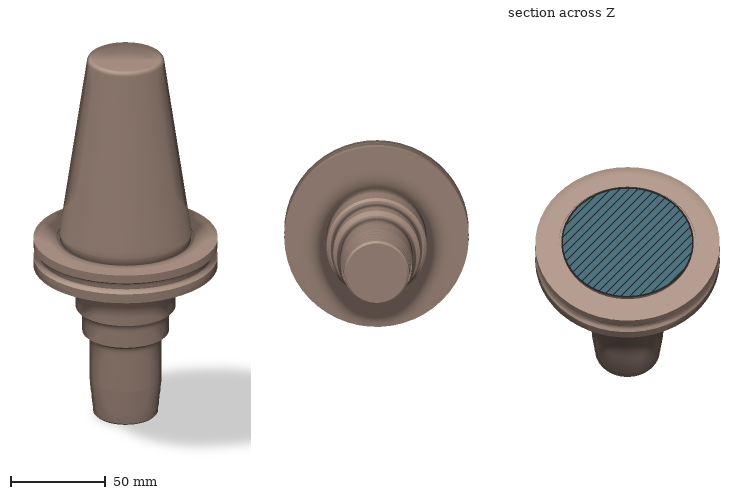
import cadquery as cq

total_height = 206.8
gauge_height = 105.0
flange_top = 102.0
flange_bottom = 85.8
collar_bottom = 62.2
step_bottom = 48.0
nose_top = 20.5

gauge_radius = 35.0
taper_rate = 7 / 48
flange_radius = 48.8
collar_radius = 26.5
step_radius = 23.0
shank_radius = 19.0

top_fillet = 2.5
gauge_lip_height = 1.0
neck_radius = 34.7
relief_radius = 36.4
relief_depth = 0.6
groove_top = 97.4
groove_floor_top = 95.5
groove_floor_bottom = 92.6
groove_bottom = 91.0
groove_radius = 46.0
collar_edge = 1.2
collar_shoulder_height = 1.7
step_chamfer_height = 2.5
nose_edge = 1.0
nose_band_count = 5
band_step = 0.2
band_widening = 0.2
nose_band_height = (nose_top - nose_edge) / nose_band_count
total_widening = nose_band_count * band_widening + (nose_band_count - 1) * band_step
nose_end_radius = shank_radius - total_widening

outline = [(0, 0), (nose_end_radius - nose_edge, 0)]
for band in range(nose_band_count):
    band_bottom_radius = nose_end_radius + band * (band_widening + band_step)
    band_bottom = nose_edge + band * nose_band_height
    outline.append((band_bottom_radius, band_bottom))
    outline.append((band_bottom_radius + band_widening, band_bottom + nose_band_height))

outline += [
    (shank_radius, step_bottom - step_chamfer_height),
    (step_radius, step_bottom),
    (step_radius, collar_bottom - collar_shoulder_height),
    (collar_radius - collar_edge, collar_bottom - collar_edge),
    (collar_radius, collar_bottom),
    (collar_radius, flange_bottom),
    (flange_radius, flange_bottom),
    (flange_radius, groove_bottom),
    (groove_radius, groove_floor_bottom),
    (groove_radius, groove_floor_top),
    (flange_radius, groove_top),
    (flange_radius, flange_top),
    (relief_radius, flange_top),
    (relief_radius, flange_top - relief_depth),
    (neck_radius, flange_top - relief_depth),
    (neck_radius, gauge_height - gauge_lip_height),
    (gauge_radius, gauge_height - gauge_lip_height),
    (gauge_radius, gauge_height),
    (gauge_radius - taper_rate * (total_height - gauge_height), total_height),
    (0, total_height),
]

body = cq.Workplane("XZ").polyline(outline).close().revolve(360, (0, 0, 0), (0, 1, 0))
result = body.faces(">Z").edges().fillet(top_fillet)